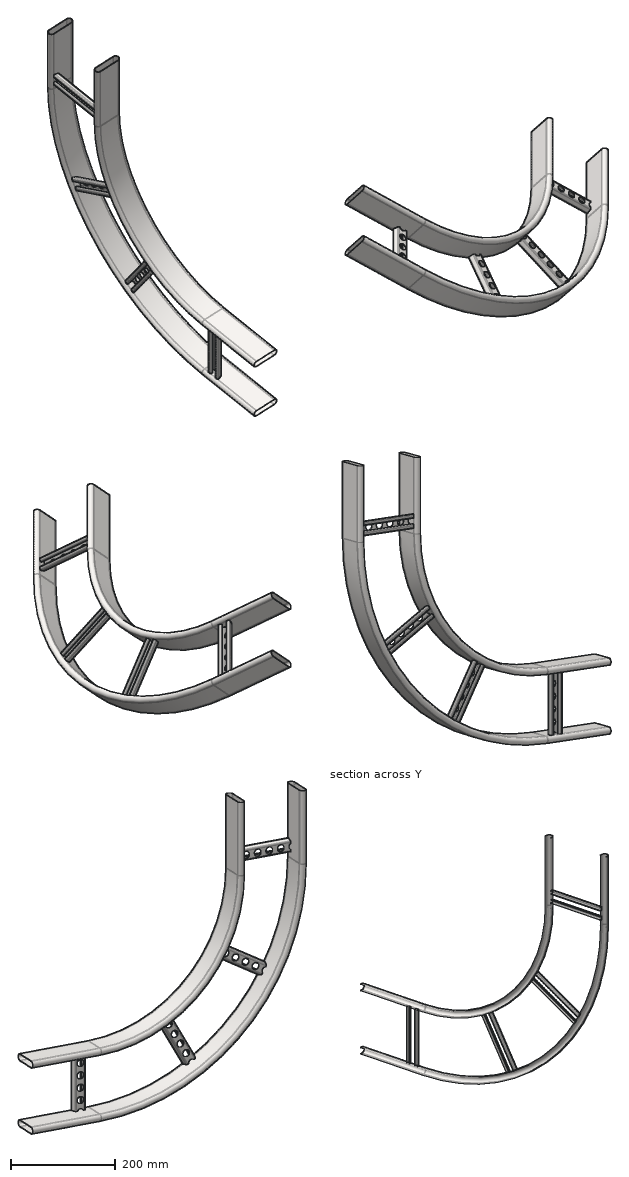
import cadquery as cq
import math


overall = 600.0
leg_length = 150.0
rail_height = 60.0
rail_width = 15.0
rail_wall = 1.5
rung_length = 120.0
rung_width = 32.0
rung_back_width = 21.5
rung_depth = 14.5
rung_setback = 6.0
rung_wall = 1.5
rung_bend = 3.0
rung_opening = 11.0
lip_depth = 5.5
hole_diameter = 14.5
hole_pitch = 25.0
hole_count = 6
leg_rung_offset = 24.5
bend_rung_angles = (30.0, 60.0)

outer_rail_radius = overall - leg_length - rail_width / 2
inner_rail_radius = outer_rail_radius - rail_width - rung_length
rung_outer_radius = outer_rail_radius - rail_width / 2
rung_inner_radius = rung_outer_radius - rung_length
side_angle = math.atan2((rung_width - rung_back_width) / 2, rung_depth)
rung_front = -rail_height / 2 + rung_setback


def make_rail(radius):
    """Hollow round-edged tube: straight leg, quarter bend, straight leg."""
    mid = radius * math.sqrt(0.5)
    path = (
        cq.Workplane("XZ")
        .moveTo(-radius, leg_length)
        .lineTo(-radius, 0)
        .threePointArc((-mid, -mid), (0, -radius))
        .lineTo(leg_length, -radius)
    )
    section = (
        cq.Workplane("XY", origin=(-radius, 0, leg_length))
        .slot2D(rail_height, rail_width, 90)
        .slot2D(rail_height - 2 * rail_wall, rail_width - 2 * rail_wall, 90)
    )
    return section.sweep(path)


def make_grooved_bar(inset):
    """Tapered bar along X, its rounded outline and front groove stepped in from the sheet surface."""
    front = inset
    back = rung_depth - inset
    slope_inset = inset / math.cos(side_angle)
    front_half = rung_width / 2 - front * math.tan(side_angle) - slope_inset
    back_half = rung_width / 2 - back * math.tan(side_angle) - slope_inset
    groove_half = rung_opening / 2 + inset
    bar = (
        cq.Workplane("YZ")
        .polyline(
            [
                (front, groove_half),
                (front, front_half),
                (back, back_half),
                (back, -back_half),
                (front, -front_half),
                (front, -groove_half),
                (lip_depth, -groove_half),
                (lip_depth, groove_half),
            ]
        )
        .close()
        .extrude(rung_length)
    )
    return bar.edges("|X").edges("<Y or >Y").fillet(rung_bend - inset)


def make_channel():
    """Channel bent from sheet, open toward -Y, with lips folded back into it."""
    return make_grooved_bar(0).cut(make_grooved_bar(rung_wall))


def make_rung():
    """Perforated rung lying along -X from the bend axis, between the two rails."""
    holes = (
        cq.Workplane("XZ", origin=(rung_length / 2, lip_depth, 0))
        .rarray(hole_pitch, 6, hole_count, 1)
        .circle(hole_diameter / 2)
        .extrude(-rung_depth)
    )
    return make_channel().cut(holes).translate((-rung_outer_radius, rung_front, 0))


def trim_to_bend(rung):
    """Shape the rung ends to the curved faces of the rails."""
    gap = (
        cq.Workplane("XZ", origin=(0, -rail_height / 2, 0))
        .circle(rung_outer_radius)
        .circle(rung_inner_radius)
        .extrude(-rail_height)
    )
    return rung.intersect(gap)


def turn_about_bend(rung, angle):
    """Swing a rung round the bend axis, from the rising leg toward the +X leg."""
    return rung.rotate((0, 0, 0), (0, 1, 0), -angle)


rails = [make_rail(radius) for radius in (outer_rail_radius, inner_rail_radius)]

rung = make_rung()
rising_leg_rung = rung.translate((0, 0, leg_rung_offset))
level_leg_rung = turn_about_bend(rung, 90).translate((leg_rung_offset, 0, 0))
bend_rungs = [turn_about_bend(trim_to_bend(rung), angle) for angle in bend_rung_angles]
rungs = [rising_leg_rung, *bend_rungs, level_leg_rung]

result = cq.Compound.makeCompound([body.val() for body in rails + rungs])